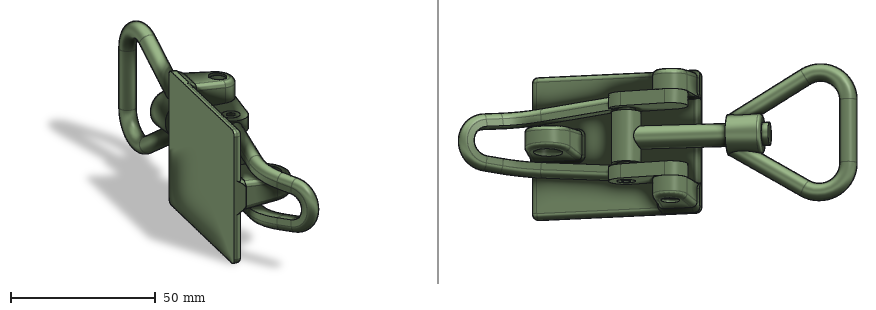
import cadquery as cq
import math


PLATE_LENGTH = 60.0
PLATE_WIDTH = 50.0
PLATE_THICKNESS = 3.0
PLATE_CORNER_RADIUS = 2.1
PLATE_EDGE_RADIUS = 2.0
PLATE_RIM = PLATE_THICKNESS - PLATE_EDGE_RADIUS
CASTING_RADIUS = 2.0
FLARE_TOP = 4.5
FLARE_ANGLE = 26
FLARE_HEIGHT = FLARE_TOP - PLATE_RIM
FLARE_SPREAD = FLARE_HEIGHT * math.tan(math.radians(FLARE_ANGLE))

PIVOT_X = 7.5
PIVOT_Y = 15.1
LUG_TOP_RADIUS = 6.1
LUG_FOOT_LENGTH = 13.8
LUG_INNER_Z = 15.2
LUG_FOOT_OUTER_Z = 23.8
DRAFT_ANGLE = 4.5
DRAFT_SLOPE = math.tan(math.radians(DRAFT_ANGLE))

EYE_X = 50.7
EYE_Y = 16.0
EYE_RADIUS = 8.0
EYE_HOLE_RADIUS = 5.0
EYE_FOOT_LENGTH = 18.4
EYE_FOOT_HALF_WIDTH = 5.3
EYE_EDGE_RADIUS = 1.7

LEVER_TILT = 5.5
LINK_LENGTH = 16.2
CHEEK_INNER_Z = 10.2
CHEEK_RADIUS = LUG_TOP_RADIUS
STUB_RADIUS = 3.2
STUB_END_Z = 22.0
LEVER_WIRE_RADIUS = 2.5
LEVER_BEND_DISTANCE = 38.3
LEVER_BEND_ANGLE = 39
LEVER_BEND_RADIUS = 22.4
LEVER_TIP_DISTANCE = 20.6
LEG_SLOPE = 0.1

PIN_RADIUS = 3.2
PIN_BORE_RADIUS = 1.5
PIN_BORE_DEPTH = 5.0

HOOK_TILT = 5.3
BARREL_RADIUS = 5.1
BARREL_HALF_LENGTH = 9.0
ROD_RADIUS = 4.0
ROD_LENGTH = 50.2
NUT_START = 35.7
NUT_LENGTH = 12.2
NUT_RADIUS = 7.0
NUT_EDGE_RADIUS = 1.2
HOOK_WIRE_RADIUS = 3.0
HOOK_REACH = 77.7
HOOK_BEND_RADIUS = 10.0
HOOK_BEND_Z = 11
HOOK_LEG_ANGLE = 31

PIN_X = PIVOT_X + LINK_LENGTH * math.cos(math.radians(LEVER_TILT))
PIN_Y = PIVOT_Y - LINK_LENGTH * math.sin(math.radians(LEVER_TILT))


def cylinder_z(x, y, radius, z_start, z_end):
    return cq.Workplane("XY", origin=(x, y, z_start)).circle(radius).extrude(z_end - z_start)


def place_at_pin(body, angle):
    return body.rotate((0, 0, 0), (0, 0, 1), angle).translate((PIN_X, PIN_Y, 0))


def plate_blank(height):
    return (
        cq.Workplane("XY")
        .box(PLATE_LENGTH, height, PLATE_WIDTH, centered=(False, False, True))
        .edges("|Y")
        .fillet(PLATE_CORNER_RADIUS)
    )


def drafted_tongue(x, y, top_radius, foot_length, width):
    """Upright with a round top and sloping sides, standing on Y = 0 and centred on Z = 0."""
    half_foot = foot_length / 2 + FLARE_TOP * DRAFT_SLOPE
    tangent_x = top_radius * math.cos(math.radians(DRAFT_ANGLE))
    tangent_y = y + top_radius * math.sin(math.radians(DRAFT_ANGLE))
    return (
        cq.Workplane("XY", origin=(x, 0, -width / 2))
        .moveTo(-half_foot, 0)
        .lineTo(-tangent_x, tangent_y)
        .threePointArc((0, y + top_radius), (tangent_x, tangent_y))
        .lineTo(half_foot, 0)
        .close()
        .extrude(width)
    )


def wedge(foot_inner_z, foot_outer_z, inner_slope, height):
    """Slab along X whose faces lean by the draft; the foot sizes hold at the flare top."""
    rise = height - FLARE_TOP
    section = [
        (0, foot_inner_z - FLARE_TOP * inner_slope),
        (0, foot_outer_z + FLARE_TOP * DRAFT_SLOPE),
        (height, foot_outer_z - rise * DRAFT_SLOPE),
        (height, foot_inner_z + rise * inner_slope),
    ]
    return cq.Workplane("YZ").polyline(section).close().extrude(2 * PLATE_LENGTH)


def flare(x, z, length, width):
    """Spreading foot that blends an upright into the plate."""
    return (
        cq.Workplane("XZ", origin=(x, PLATE_RIM, z))
        .sketch()
        .rect(length + 2 * FLARE_SPREAD, width + 2 * FLARE_SPREAD)
        .vertices()
        .fillet(CASTING_RADIUS + FLARE_SPREAD)
        .finalize()
        .extrude(-FLARE_HEIGHT, taper=FLARE_ANGLE)
    )


def make_lug():
    height = PIVOT_Y + LUG_TOP_RADIUS
    tongue = drafted_tongue(PIVOT_X, PIVOT_Y, LUG_TOP_RADIUS, LUG_FOOT_LENGTH, PLATE_WIDTH)
    lug = tongue.intersect(wedge(LUG_INNER_Z, LUG_FOOT_OUTER_Z, 0, height))
    lug = lug.faces(">Z").edges("not <Y").fillet(CASTING_RADIUS)
    foot_width = LUG_FOOT_OUTER_Z - LUG_INNER_Z
    foot_z = (LUG_INNER_Z + LUG_FOOT_OUTER_Z) / 2
    return lug.union(flare(PIVOT_X, foot_z, LUG_FOOT_LENGTH, foot_width))


def make_eye():
    height = EYE_Y + EYE_RADIUS
    tongue = drafted_tongue(EYE_X, EYE_Y, EYE_RADIUS, EYE_FOOT_LENGTH, PLATE_WIDTH)
    eye = tongue.intersect(wedge(-EYE_FOOT_HALF_WIDTH, EYE_FOOT_HALF_WIDTH, DRAFT_SLOPE, height))
    eye = eye.faces(">Z or <Z").edges("not <Y").fillet(EYE_EDGE_RADIUS)
    hole = cylinder_z(EYE_X, EYE_Y, EYE_HOLE_RADIUS, -PLATE_WIDTH / 2, PLATE_WIDTH / 2)
    foot = flare(EYE_X, 0, EYE_FOOT_LENGTH, 2 * EYE_FOOT_HALF_WIDTH)
    return eye.union(foot).cut(hole)


def make_base():
    plate = plate_blank(PLATE_THICKNESS).faces(">Y").edges().fillet(PLATE_EDGE_RADIUS)
    lug = make_lug()
    uprights = lug.union(lug.mirror("XY")).union(make_eye())
    uprights = uprights.intersect(plate_blank(EYE_Y + EYE_RADIUS))
    pivot_bore = cylinder_z(PIVOT_X, PIVOT_Y, STUB_RADIUS, -PLATE_WIDTH / 2, PLATE_WIDTH / 2)
    return plate.union(uprights).cut(pivot_bore)


def lever_wire_path():
    """Centre line from one clamp-pin end, round the loop and back to the other end."""
    leg_angle = math.atan(LEG_SLOPE)
    start_z = (CHEEK_INNER_Z + LUG_INNER_Z) / 2
    corner_z = start_z - LEG_SLOPE * LEVER_BEND_DISTANCE
    bend = math.radians(LEVER_BEND_ANGLE)
    rise = cq.Vector(math.cos(bend), math.sin(bend), 0)

    loop_radius = (corner_z - LEG_SLOPE * LEVER_TIP_DISTANCE) / (
        math.cos(leg_angle) - LEG_SLOPE * (1 - math.sin(leg_angle))
    )
    loop_start_reach = LEVER_TIP_DISTANCE - loop_radius * (1 - math.sin(leg_angle))
    start = cq.Vector(0, 0, start_z)
    corner = cq.Vector(LEVER_BEND_DISTANCE, 0, corner_z)
    loop_start = rise * loop_start_reach + cq.Vector(
        corner.x, 0, loop_radius * math.cos(leg_angle)
    )
    loop_tip = corner + rise * LEVER_TIP_DISTANCE - cq.Vector(0, 0, corner_z)

    back = (start - corner).normalized()
    ahead = (loop_start - corner).normalized()
    half_turn = (math.pi - back.getAngle(ahead)) / 2
    bend_start = corner + back * (LEVER_BEND_RADIUS * math.tan(half_turn))
    bend_end = corner + ahead * (LEVER_BEND_RADIUS * math.tan(half_turn))
    corner_gap = LEVER_BEND_RADIUS * (1 / math.cos(half_turn) - 1)
    bend_middle = corner + (back + ahead).normalized() * corner_gap

    def flip(point):
        return cq.Vector(point.x, point.y, -point.z)

    return cq.Wire.assembleEdges([
        cq.Edge.makeLine(start, bend_start),
        cq.Edge.makeThreePointArc(bend_start, bend_middle, bend_end),
        cq.Edge.makeLine(bend_end, loop_start),
        cq.Edge.makeThreePointArc(loop_start, loop_tip, flip(loop_start)),
        cq.Edge.makeLine(flip(loop_start), flip(bend_end)),
        cq.Edge.makeThreePointArc(flip(bend_end), flip(bend_middle), flip(bend_start)),
        cq.Edge.makeLine(flip(bend_start), flip(start)),
    ])


def lever_wire_section(plane):
    """Round on the outside of the loop and square on the inside."""
    return (
        cq.Workplane(plane)
        .moveTo(LEVER_WIRE_RADIUS, 0)
        .threePointArc((0, LEVER_WIRE_RADIUS), (-LEVER_WIRE_RADIUS, 0))
        .lineTo(-LEVER_WIRE_RADIUS, -LEVER_WIRE_RADIUS)
        .lineTo(LEVER_WIRE_RADIUS, -LEVER_WIRE_RADIUS)
        .close()
    )


def make_cheek():
    """Link plate on the +Z side with its pivot stub; the clamp pin is at the origin."""
    plate = (
        cq.Workplane("XY", origin=(-LINK_LENGTH / 2, 0, CHEEK_INNER_Z))
        .slot2D(LINK_LENGTH + 2 * CHEEK_RADIUS, 2 * CHEEK_RADIUS)
        .extrude(LUG_INNER_Z - CHEEK_INNER_Z)
    )
    return plate.union(cylinder_z(-LINK_LENGTH, 0, STUB_RADIUS, CHEEK_INNER_Z, STUB_END_Z))


def make_lever():
    path = lever_wire_path()
    profile_plane = cq.Plane(path.startPoint(), xDir=(0, 1, 0), normal=path.tangentAt(0))
    loop = lever_wire_section(profile_plane).sweep(path)
    cheek = make_cheek()
    lever = loop.union(cheek).union(cheek.mirror("XY"))
    lever = lever.cut(cylinder_z(0, 0, PIN_RADIUS, -LUG_INNER_Z, LUG_INNER_Z))
    return place_at_pin(lever, -LEVER_TILT)


def make_clamp_pin():
    """Cross pin, flush with the cheeks and with a blind centre bore in each end."""
    pin = cylinder_z(PIN_X, PIN_Y, PIN_RADIUS, -LUG_INNER_Z, LUG_INNER_Z)
    bore = cylinder_z(PIN_X, PIN_Y, PIN_BORE_RADIUS, LUG_INNER_Z - PIN_BORE_DEPTH, LUG_INNER_Z)
    return pin.cut(bore).cut(bore.mirror("XY"))


def rod_cylinder(radius, start, length):
    return cq.Workplane("YZ", origin=(-start, 0, 0)).circle(radius).extrude(-length)


def make_eye_bolt():
    barrel = cylinder_z(0, 0, BARREL_RADIUS, -BARREL_HALF_LENGTH, BARREL_HALF_LENGTH)
    bolt = barrel.union(rod_cylinder(ROD_RADIUS, 0, ROD_LENGTH))
    bolt = bolt.cut(cylinder_z(0, 0, PIN_RADIUS, -BARREL_HALF_LENGTH, BARREL_HALF_LENGTH))
    return place_at_pin(bolt, HOOK_TILT)


def make_hook_wire():
    """Triangular loop whose straight legs run to the rod axis and stop at the end of the nut."""
    leg = math.radians(HOOK_LEG_ANGLE)
    bend_x = HOOK_BEND_RADIUS - HOOK_REACH
    leg_x = bend_x + HOOK_BEND_RADIUS * math.sin(leg)
    leg_z = HOOK_BEND_Z + HOOK_BEND_RADIUS * math.cos(leg)
    middle_x = bend_x - HOOK_BEND_RADIUS * math.sqrt(0.5)
    middle_z = HOOK_BEND_Z + HOOK_BEND_RADIUS * math.sqrt(0.5)
    leg_direction = cq.Vector(math.cos(leg), 0, -math.sin(leg))
    upper_leg_end = cq.Vector(leg_x, 0, leg_z)
    lower_leg_end = cq.Vector(leg_x, 0, -leg_z)
    upper_bar_end = cq.Vector(-HOOK_REACH, 0, HOOK_BEND_Z)
    lower_bar_end = cq.Vector(-HOOK_REACH, 0, -HOOK_BEND_Z)

    path = cq.Wire.assembleEdges([
        cq.Edge.makeThreePointArc(upper_leg_end, cq.Vector(middle_x, 0, middle_z), upper_bar_end),
        cq.Edge.makeLine(upper_bar_end, lower_bar_end),
        cq.Edge.makeThreePointArc(lower_bar_end, cq.Vector(middle_x, 0, -middle_z), lower_leg_end),
    ])
    profile_plane = cq.Plane(origin=upper_leg_end, normal=-leg_direction)
    bow = cq.Workplane(profile_plane).circle(HOOK_WIRE_RADIUS).sweep(path)

    leg_length = leg_z / math.sin(leg)
    straight = cq.Workplane(
        cq.Solid.makeCylinder(HOOK_WIRE_RADIUS, leg_length, upper_leg_end, leg_direction)
    )
    straight = straight.intersect(rod_cylinder(PLATE_WIDTH, NUT_START, HOOK_REACH))
    return bow.union(straight).union(straight.mirror("XY"))


def make_hook():
    nut = rod_cylinder(NUT_RADIUS, NUT_START, NUT_LENGTH)
    nut = nut.faces("<X").edges().fillet(NUT_EDGE_RADIUS)
    hook = nut.union(make_hook_wire())
    hook = hook.cut(rod_cylinder(ROD_RADIUS, 0, ROD_LENGTH))
    return place_at_pin(hook, HOOK_TILT)


base = make_base()
lever = make_lever()
clamp_pin = make_clamp_pin()
eye_bolt = make_eye_bolt()
hook = make_hook()

result = cq.Compound.makeCompound([
    base.solids().val(),
    lever.solids().val(),
    clamp_pin.solids().val(),
    eye_bolt.solids().val(),
    hook.solids().val(),
])